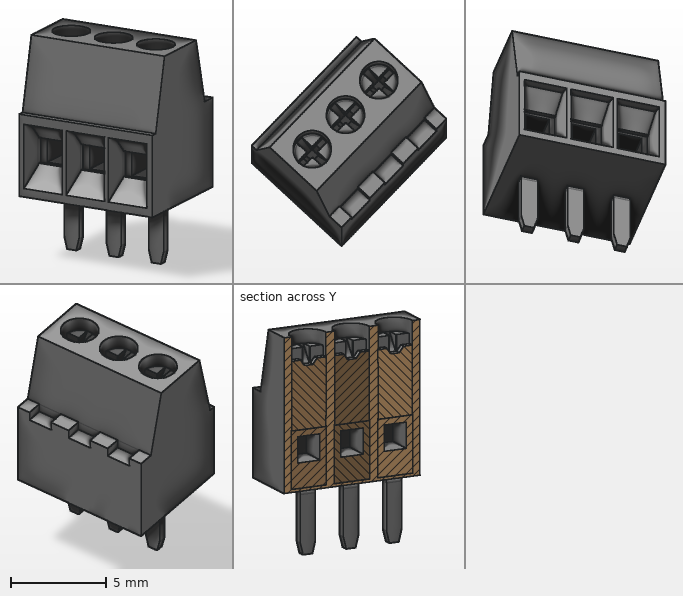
import cadquery as cq


pole_count = 3
pitch = 2.55
pole_positions = [(i - (pole_count - 1) / 2) * pitch for i in range(pole_count)]

housing_width = 8.02
housing_depth = 6.5
overall_height = 12
housing_bottom = 3.5
front_ledge_z = 8.0
back_ledge_z = 8.4
front_ledge_depth = 0.36
back_ledge_depth = 0.88
top_front_y = 1.31
top_back_y = 4.7

entry_width = 2.3
entry_bottom = 3.97
entry_top = 7.49
passage_width = 1.82
passage_bottom = 5.09
passage_top = 6.49
side_taper_depth = 1.08
top_taper_start = 0.42
passage_start_y = 1.19
passage_end_y = 1.37
entry_offset = -0.02

notch_width = 1.4
notch_depth = 0.5

screw_y = 3
screw_diameter = 2.0
screw_face_z = 11.25
screw_edge_radius = 0.11
slot_width = 0.38
slot_depth = 0.59
cross_depth = 0.91
cross_top_half = 0.96
cross_bottom_half = 0.23

pin_width = 0.9
pin_thickness = 0.45
pin_front_y = 3.02
pin_tip_width = 0.55
pin_tip_height = 0.7
pin_round_radius = 0.38
pin_round_start = 3.31
pin_top = pin_round_start + pin_round_radius

clamp_width = 2.04
clamp_wall = 0.38
clamp_opening_width = 1.28
clamp_front_y = 1.56
clamp_back_y = 2 * screw_y - clamp_front_y
clamp_depth = clamp_back_y - clamp_front_y
clamp_top = passage_top + clamp_wall
clamp_height = clamp_top - pin_top


def box(width, depth, height, x, front_y, bottom_z):
    """Box centred on x, starting at front_y and bottom_z."""
    solid = cq.Workplane("XY").box(width, depth, height, centered=(True, False, False))
    return solid.translate((x, front_y, bottom_z))


def funnel(x):
    """Wire entry: the overlap of a side-tapered and a top-and-bottom-tapered prism."""
    half_entry = entry_width / 2
    half_passage = passage_width / 2
    plan = (
        cq.Workplane("XY")
        .workplane(offset=entry_bottom)
        .polyline([
            (-half_entry, 0),
            (half_entry, 0),
            (half_passage, side_taper_depth),
            (half_passage, passage_end_y),
            (-half_passage, passage_end_y),
            (-half_passage, side_taper_depth),
        ])
        .close()
        .extrude(entry_top - entry_bottom)
    )
    section = (
        cq.Workplane("YZ")
        .polyline([
            (0, entry_bottom),
            (passage_start_y, passage_bottom),
            (passage_end_y, passage_bottom),
            (passage_end_y, passage_top),
            (passage_start_y, passage_top),
            (top_taper_start, entry_top),
            (0, entry_top),
        ])
        .close()
        .extrude(half_entry, both=True)
    )
    return plan.intersect(section).translate((x + entry_offset, 0, 0))


def back_notch(x):
    """Notch through the ledge along the back of the housing."""
    front_y = housing_depth - back_ledge_depth
    return box(notch_width, back_ledge_depth, notch_depth, x, front_y, back_ledge_z - notch_depth)


def clamp_cavity(x):
    """Space for a clamp, with a gap in front of it up to the wire passage."""
    return box(clamp_width, clamp_back_y - passage_end_y, clamp_height, x, passage_end_y, pin_top)


def make_clamp(x):
    """Block with a wire opening through it from front to back."""
    opening_height = passage_top - passage_bottom
    opening = box(clamp_opening_width, clamp_depth, opening_height, x, clamp_front_y, passage_bottom)
    block = box(clamp_width, clamp_depth, clamp_height, x, clamp_front_y, pin_top)
    return block.cut(opening)


def make_pin(x):
    """Flat pin with a tapered tip and a rounded upper front edge."""
    half_width = pin_width / 2
    half_tip = pin_tip_width / 2
    pin = (
        cq.Workplane("XZ")
        .polyline([
            (-half_tip, 0),
            (half_tip, 0),
            (half_width, pin_tip_height),
            (half_width, pin_top),
            (-half_width, pin_top),
            (-half_width, pin_tip_height),
        ])
        .close()
        .extrude(-pin_thickness)
        .faces(">Z")
        .edges("<Y")
        .fillet(pin_round_radius)
    )
    return pin.translate((x, pin_front_y, 0))


def cross_wing():
    """Wing of the cross recess along Y, with both ends sloping down to the middle."""
    return (
        cq.Workplane("YZ")
        .polyline([
            (-cross_top_half, 0),
            (-cross_bottom_half, -cross_depth),
            (cross_bottom_half, -cross_depth),
            (cross_top_half, 0),
        ])
        .close()
        .extrude(slot_width / 2, both=True)
    )


def cross_middle():
    """Octagonal middle of the cross recess, which bevels the corners between the wings."""
    diamond_reach = cross_bottom_half + slot_width / 2
    diamond = (
        cq.Workplane("XY")
        .polyline([(diamond_reach, 0), (0, diamond_reach), (-diamond_reach, 0), (0, -diamond_reach)])
        .close()
        .extrude(-cross_depth)
    )
    side = 2 * cross_bottom_half
    return diamond.intersect(box(side, side, cross_depth, 0, -cross_bottom_half, -cross_depth))


def make_screw(x):
    """Cylinder with a rounded rim, a straight slot and a cross recess."""
    radius = screw_diameter / 2
    screw = (
        cq.Workplane("XY")
        .circle(radius)
        .extrude(clamp_top - screw_face_z)
        .faces(">Z")
        .edges()
        .fillet(screw_edge_radius)
    )
    slot = box(screw_diameter, slot_width, slot_depth, 0, -slot_width / 2, -slot_depth)
    wing = cross_wing()
    crossing_wing = wing.rotate((0, 0, 0), (0, 0, 1), 90)
    screw = screw.cut(slot).cut(wing).cut(crossing_wing).cut(cross_middle())
    return screw.translate((x, screw_y, screw_face_z))


def screw_hole(x):
    """Round hole from the top face down to the clamp."""
    return (
        cq.Workplane("XY")
        .circle(screw_diameter / 2)
        .extrude(overall_height - clamp_top)
        .translate((x, screw_y, clamp_top))
    )


def make_housing():
    """Stepped block with tapered upper faces and the openings for every pole."""
    housing = (
        cq.Workplane("YZ")
        .polyline([
            (0, housing_bottom),
            (housing_depth, housing_bottom),
            (housing_depth, back_ledge_z),
            (housing_depth - back_ledge_depth, back_ledge_z),
            (top_back_y, overall_height),
            (top_front_y, overall_height),
            (front_ledge_depth, front_ledge_z),
            (0, front_ledge_z),
        ])
        .close()
        .extrude(housing_width / 2, both=True)
    )
    for x in pole_positions:
        housing = housing.cut(funnel(x)).cut(back_notch(x))
        housing = housing.cut(screw_hole(x)).cut(clamp_cavity(x)).cut(make_pin(x))
    return housing


housing = make_housing()
pins = [make_pin(x).val() for x in pole_positions]
clamps = [make_clamp(x).val() for x in pole_positions]
screws = [make_screw(x).val() for x in pole_positions]

result = cq.Compound.makeCompound([housing.val(), *pins, *clamps, *screws])